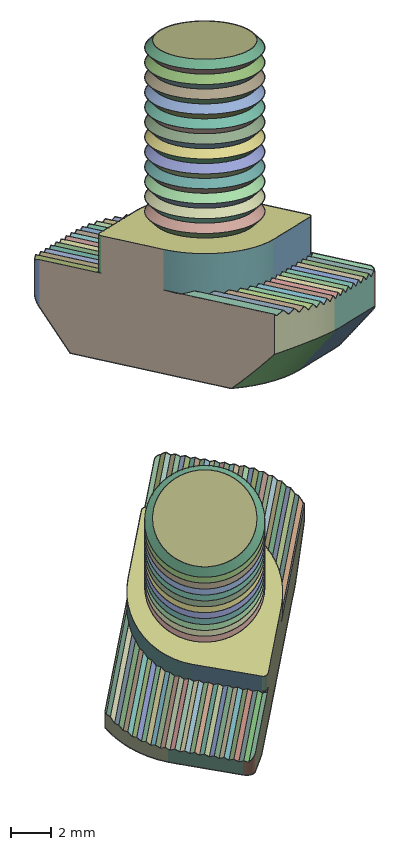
import cadquery as cq
import math

TOTAL_HEIGHT = 16.6
HEAD_LENGTH = 15.6
HEAD_WIDTH = 7.8
HALF_LENGTH = HEAD_LENGTH / 2
HALF_WIDTH = HEAD_WIDTH / 2

HEAD_HEIGHT = 4.66
END_WALL_BOTTOM = 2.72
BOTTOM_HALF_LENGTH = 5.5
END_ARC_RADIUS = 5.0
END_ARC_CENTRE_Y = 0.42
HEAD_CORNER_RADIUS = 0.53

COLLAR_TOP = 6.67
COLLAR_ARC_RADIUS = 4.0
COLLAR_HALF_LENGTH = 3.95
COLLAR_CORNER_RADIUS = 0.25
COLLAR_ARC_CENTRE_X = COLLAR_ARC_RADIUS - COLLAR_HALF_LENGTH
COLLAR_ARC_CENTRE_Y = HALF_WIDTH - COLLAR_ARC_RADIUS

TOOTH_PITCH = 0.5
TOOTH_COUNT = math.ceil(HEAD_WIDTH / TOOTH_PITCH)
TOOTH_DEPTH = TOOTH_PITCH / 2

THREAD_RADIUS = 3.0
THREAD_RIDGES = 12
THREAD_LENGTH = 9.6
THREAD_PITCH = THREAD_LENGTH / THREAD_RIDGES
THREAD_ROOT_RADIUS = THREAD_RADIUS - THREAD_PITCH / 2
THREAD_BOTTOM = TOTAL_HEIGHT - THREAD_LENGTH


def half_turn(shape):
    """Copy of a shape turned by 180 degrees about the Z axis."""
    return shape.rotate((0, 0, 0), (0, 0, 1), 180)


def diagonal_block(half_length, radius, centre_y, bottom, top):
    """Upright block with a large arc at the -X +Y and +X -Y corners and the other two corners square.

    Each arc leaves its end wall tangentially at centre_y and runs to the long side.
    """
    centre_x = radius - half_length
    end_angle = math.asin(min(1.0, (HALF_WIDTH - centre_y) / radius))
    side_x = centre_x - radius * math.cos(end_angle)
    middle_x = centre_x - radius * math.cos(end_angle / 2)
    middle_y = centre_y + radius * math.sin(end_angle / 2)
    return (
        cq.Workplane("XY", origin=(0, 0, bottom))
        .moveTo(-half_length, -HALF_WIDTH)
        .lineTo(-half_length, centre_y)
        .threePointArc((middle_x, middle_y), (side_x, HALF_WIDTH))
        .lineTo(half_length, HALF_WIDTH)
        .lineTo(half_length, -centre_y)
        .threePointArc((-middle_x, -middle_y), (-side_x, -HALF_WIDTH))
        .close()
        .extrude(top - bottom)
    )


def round_square_corners(block, half_length, radius):
    """Fillet the two upright edges at the square corners of a diagonal block."""
    middle_z = block.val().Center().z
    for side in (-1, 1):
        corner = (side * half_length, side * HALF_WIDTH, middle_z)
        block = block.edges(cq.NearestToPointSelector(corner)).fillet(radius)
    return block


def collar_block(bottom, top):
    """Collar with its two square corners left sharp."""
    return diagonal_block(COLLAR_HALF_LENGTH, COLLAR_ARC_RADIUS, COLLAR_ARC_CENTRE_Y, bottom, top)


def tapered_envelope():
    """Space that narrows toward the bottom: a cone, with flat slopes beside the square corners."""
    slope = (HALF_LENGTH - BOTTOM_HALF_LENGTH) / END_WALL_BOTTOM
    top_reach = BOTTOM_HALF_LENGTH + slope * HEAD_HEIGHT
    profile = [(0, 0), (BOTTOM_HALF_LENGTH, 0), (top_reach, HEAD_HEIGHT), (0, HEAD_HEIGHT)]
    cone = cq.Workplane("XZ").polyline(profile).close().revolve(360, (0, 0), (0, 1))
    flat_slope = cq.Workplane("XZ").polyline(profile).close().extrude(-HALF_WIDTH)
    return cone.union(flat_slope).union(half_turn(flat_slope))


def tooth_grooves():
    """Material between the teeth on the -X half, left whole where the collar stands."""
    clearance_top = HEAD_HEIGHT + TOOTH_DEPTH
    last_crest_y = -HALF_WIDTH + TOOTH_COUNT * TOOTH_PITCH
    points = [(-HALF_WIDTH, HEAD_HEIGHT)]
    for tooth in range(TOOTH_COUNT):
        crest_y = -HALF_WIDTH + tooth * TOOTH_PITCH
        points.append((crest_y + TOOTH_PITCH / 2, HEAD_HEIGHT - TOOTH_DEPTH))
        points.append((crest_y + TOOTH_PITCH, HEAD_HEIGHT))
    points.append((last_crest_y, clearance_top))
    points.append((-HALF_WIDTH, clearance_top))
    length = HALF_LENGTH + COLLAR_ARC_CENTRE_X
    grooves = cq.Workplane("YZ", origin=(-HALF_LENGTH, 0, 0)).polyline(points).close().extrude(length)
    return grooves.cut(collar_block(0, COLLAR_TOP))


def make_head():
    """Hammer head with tapered underside, gripping teeth and collar."""
    head = diagonal_block(HALF_LENGTH, END_ARC_RADIUS, END_ARC_CENTRE_Y, 0, HEAD_HEIGHT)
    head = round_square_corners(head, HALF_LENGTH, HEAD_CORNER_RADIUS)
    head = head.intersect(tapered_envelope())

    grooves = tooth_grooves()
    head = head.cut(grooves).cut(half_turn(grooves))

    collar = collar_block(HEAD_HEIGHT, COLLAR_TOP)
    collar = round_square_corners(collar, COLLAR_HALF_LENGTH, COLLAR_CORNER_RADIUS)
    return head.union(collar).solids()


def make_threaded_shank():
    """Shank standing clear above the collar, ringed by thread ridges over its whole length."""
    points = [(0, THREAD_BOTTOM), (THREAD_ROOT_RADIUS, THREAD_BOTTOM)]
    for ridge in range(THREAD_RIDGES):
        ridge_bottom = THREAD_BOTTOM + ridge * THREAD_PITCH
        points.append((THREAD_RADIUS, ridge_bottom + THREAD_PITCH / 2))
        points.append((THREAD_ROOT_RADIUS, ridge_bottom + THREAD_PITCH))
    points.append((0, TOTAL_HEIGHT))
    return cq.Workplane("XZ").polyline(points).close().revolve(360, (0, 0), (0, 1))


head = make_head()
threaded_shank = make_threaded_shank()

result = cq.Compound.makeCompound([head.val(), threaded_shank.val()])